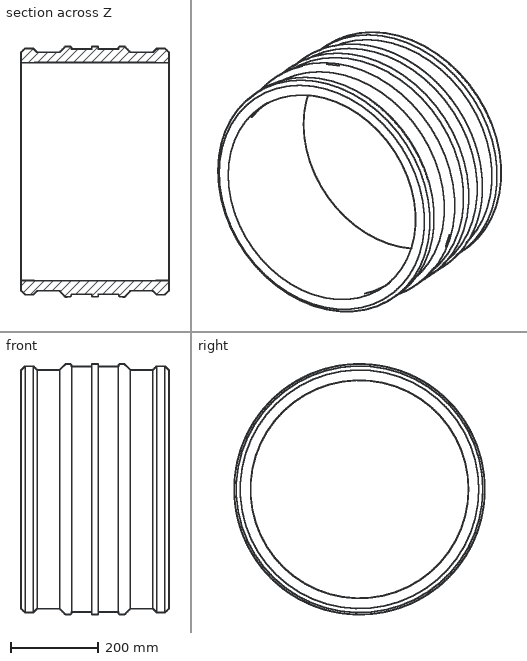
import cadquery as cq

half_length = 170.0
outer_radius = 576 / 2

collar_radius = 566.0 / 2
collar_outer_edge = 160.5
collar_inner_edge = 141.5
end_chamfer = half_length - collar_outer_edge

groove_radius = 549.0 / 2
groove_outer_edge = collar_inner_edge - (collar_radius - groove_radius)
groove_inner_edge = 81.0

band_radius = 564.5 / 2
side_rib_outer_edge = groove_inner_edge - (outer_radius - groove_radius)
side_rib_inner_edge = 53.5
side_rib_inner_fillet = 4.9
side_rib_outer_fillet = 2.0
centre_rib_half_width = 7.5
centre_rib_fillet = 2.0

lip_radius = 500.0 / 2
lip_depth = 29.0
bore_step = 0.5
bore_step_length = 3.0
lip_edge = half_length - lip_depth
bore_radius = lip_radius + bore_step
bore_edge = lip_edge - bore_step_length


def revolve_mirrored_profile(half_profile):
    """Revolve (station, radius) points and their mirror image about the X axis."""
    mirrored = [(-x, r) for x, r in reversed(half_profile)]
    points = [(-half_length, 0)] + mirrored + half_profile + [(half_length, 0)]
    return cq.Workplane("XY").polyline(points).close().revolve(360, (0, 0, 0), (1, 0, 0))


def circles_at(station, radius):
    """Select circular edges of one radius at a station and at its mirror."""
    tolerance = 0.05
    edges = []
    for edge in outside.edges("%CIRCLE").vals():
        on_station = abs(abs(edge.Center().x) - station) < tolerance
        if on_station and abs(edge.radius() - radius) < tolerance:
            edges.append(edge)
    return outside.newObject(edges)


outside = revolve_mirrored_profile([
    (centre_rib_half_width, outer_radius),
    (centre_rib_half_width, band_radius),
    (side_rib_inner_edge, band_radius),
    (side_rib_inner_edge, outer_radius),
    (side_rib_outer_edge, outer_radius),
    (groove_inner_edge, groove_radius),
    (groove_outer_edge, groove_radius),
    (collar_inner_edge, collar_radius),
    (collar_outer_edge, collar_radius),
    (half_length, collar_radius - end_chamfer),
])

outside = circles_at(side_rib_inner_edge, outer_radius).fillet(side_rib_inner_fillet)
outside = circles_at(side_rib_outer_edge, outer_radius).fillet(side_rib_outer_fillet)
outside = circles_at(centre_rib_half_width, outer_radius).fillet(centre_rib_fillet)

bore = revolve_mirrored_profile([
    (bore_edge, bore_radius),
    (lip_edge, lip_radius),
    (half_length, lip_radius),
])

result = outside.cut(bore)